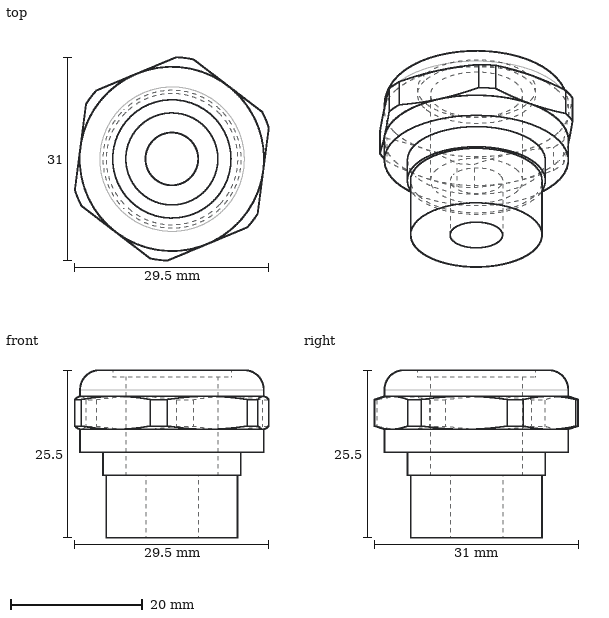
import cadquery as cq

tube_top = 9.5
collar_top = 13.0
hex_bottom = 16.5
hex_height = 5.02
dome_bottom = 22.5
total_height = 25.5

tube_diameter = 20.0
collar_diameter = 21.0
nut_diameter = 28.0
dome_radius = total_height - dome_bottom

hex_sides = 6
hex_across_flats = 28.05
hex_corner_diameter = 31.0
hex_chamfer_drop = 0.5
hex_rotation = -7.4

recess_diameter = 18.0
recess_depth = 1.0
bore_diameter = 14.0
bore_floor = tube_top
hole_diameter = 8.0


def cylinder(diameter, bottom, top):
    """Upright cylinder on the part axis."""
    return cq.Workplane("XY").workplane(offset=bottom).circle(diameter / 2).extrude(top - bottom)


def make_nut_body():
    """Round cap with its top rim rounded over."""
    return cylinder(nut_diameter, collar_top, total_height).faces(">Z").edges().fillet(dome_radius)


def make_hexagon():
    """Hexagonal ring trimmed by a round blank with conical top and bottom."""
    hex_top = hex_bottom + hex_height
    flat_radius = hex_across_flats / 2
    corner_radius = hex_corner_diameter / 2
    prism = (
        cq.Workplane("XY")
        .workplane(offset=hex_bottom)
        .polygon(hex_sides, hex_across_flats, circumscribed=True)
        .extrude(hex_height)
        .rotate((0, 0, 0), (0, 0, 1), hex_rotation)
    )
    blank = (
        cq.Workplane("XZ")
        .moveTo(0, hex_bottom)
        .lineTo(flat_radius, hex_bottom)
        .lineTo(corner_radius, hex_bottom + hex_chamfer_drop)
        .lineTo(corner_radius, hex_top - hex_chamfer_drop)
        .lineTo(flat_radius, hex_top)
        .lineTo(0, hex_top)
        .close()
        .revolve(360, (0, 0, 0), (0, 1, 0))
    )
    return prism.intersect(blank)


def make_bore():
    """Through hole that widens to the bore and then to the shallow top recess."""
    hole = cylinder(hole_diameter, 0, total_height)
    bore = cylinder(bore_diameter, bore_floor, total_height)
    recess = cylinder(recess_diameter, total_height - recess_depth, total_height)
    return hole.union(bore).union(recess)


tube = cylinder(tube_diameter, 0, tube_top)
collar = cylinder(collar_diameter, tube_top, collar_top)

result = tube.union(collar).union(make_nut_body()).union(make_hexagon()).cut(make_bore())